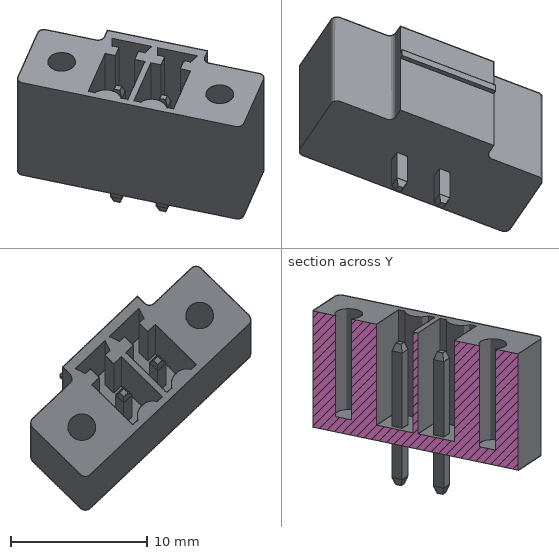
import cadquery as cq

length = 17.3
flange_depth = 6.0
total_depth = 7.55
rib_projection = 0.3
body_depth = total_depth - rib_projection
body_height = 9.2
center_width = 7.68
corner_radius = 0.5
selection_margin = 0.02

rib_height = 0.64
rib_top_drop = 2.87

screw_spacing = 12.11
screw_hole_diameter = 2.0
insert_diameter = 2 * screw_hole_diameter
screw_depth = 7.95

pitch = 3.5
cavity_depth = 7.95
cavity_width = 3.03
cavity_front = 0.52
shoulder_y = 4.8
neck_end_y = 5.73
cavity_back = 6.5
neck_width = 1.47
dovetail_width = 2.5
bump_width = 1.99
bump_height = 0.57

pin_width = 0.86
pin_end_width = 0.45
taper_length = 0.59
total_height = 12.6
pin_top_drop = 1.44
pin_bottom = body_height - total_height
pin_top = body_height - pin_top_drop

axis_y = flange_depth / 2
pin_places = [(-pitch / 2, axis_y), (pitch / 2, axis_y)]
screw_places = [(-screw_spacing / 2, axis_y), (screw_spacing / 2, axis_y)]


def block(width, y_start, y_end, z_start, z_end):
    """Box centred on X, spanning the given Y and Z ranges."""
    box = cq.Workplane("XY").box(width, y_end - y_start, z_end - z_start, centered=(True, False, False))
    return box.translate((0, y_start, z_start))


def make_housing():
    flange = block(length, 0, flange_depth, 0, body_height).edges("|Z").fillet(corner_radius)
    center = block(center_width, 0, body_depth, 0, body_height)
    housing = flange.union(center)
    half_width = center_width / 2
    inner_corners = cq.selectors.BoxSelector(
        (-half_width - selection_margin, flange_depth - selection_margin, 0),
        (half_width + selection_margin, flange_depth + selection_margin, body_height),
    )
    housing = housing.edges("|Z").edges(inner_corners).fillet(corner_radius)
    rib_top = body_height - rib_top_drop
    rib = block(center_width, cavity_back, total_depth, rib_top - rib_height, rib_top)
    return housing.union(rib)


def make_cavity(x_center):
    """Keyed pocket: rectangular chamber, neck, dovetail and a rounded front bump."""
    half = cavity_width / 2
    half_neck = neck_width / 2
    half_dovetail = dovetail_width / 2
    half_bump = bump_width / 2
    outline = (
        cq.Workplane("XY", origin=(x_center, 0, body_height - cavity_depth))
        .moveTo(-half, cavity_front)
        .lineTo(-half_bump, cavity_front)
        .threePointArc((0, cavity_front + bump_height), (half_bump, cavity_front))
        .lineTo(half, cavity_front)
        .lineTo(half, shoulder_y)
        .lineTo(half_neck, shoulder_y)
        .lineTo(half_neck, neck_end_y)
        .lineTo(half_dovetail, neck_end_y)
        .lineTo(half, cavity_back)
        .lineTo(-half, cavity_back)
        .lineTo(-half_dovetail, neck_end_y)
        .lineTo(-half_neck, neck_end_y)
        .lineTo(-half_neck, shoulder_y)
        .lineTo(-half, shoulder_y)
        .close()
    )
    return outline.extrude(cavity_depth)


def make_pin(x_center, y_center):
    """Straight square pin narrowing to a small square at both ends."""
    shank_bottom = pin_bottom + taper_length
    shank_length = pin_top - pin_bottom - 2 * taper_length
    pin = cq.Workplane("XY", origin=(0, 0, shank_bottom)).rect(pin_width, pin_width).extrude(shank_length)
    for face in (">Z", "<Z"):
        tip = (
            pin.faces(face)
            .workplane()
            .rect(pin_width, pin_width)
            .workplane(offset=taper_length)
            .rect(pin_end_width, pin_end_width)
            .loft(combine=False)
        )
        pin = pin.union(tip)
    return pin.translate((x_center, y_center, 0))


def make_socket(x_center, y_center):
    """Blind cylinder in the housing that receives a ring insert."""
    plane = cq.Workplane("XY", origin=(x_center, y_center, body_height))
    return plane.circle(insert_diameter / 2).extrude(-screw_depth)


def make_insert(x_center, y_center):
    """Ring with a blind bore, flush with the top of the housing."""
    plane = cq.Workplane("XY", origin=(x_center, y_center, body_height))
    return plane.circle(insert_diameter / 2).circle(screw_hole_diameter / 2).extrude(-screw_depth)


result = make_housing()
for x, y in pin_places:
    result = result.cut(make_cavity(x))
    result = result.union(make_pin(x, y))

for x, y in screw_places:
    result = result.cut(make_socket(x, y))

for x, y in screw_places:
    result = result.union(make_insert(x, y), clean=False)